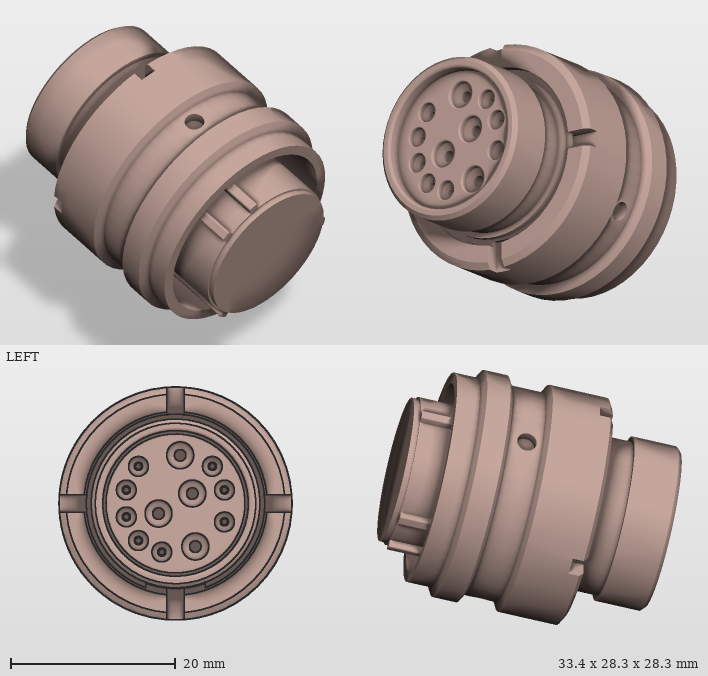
import cadquery as cq
import math

LENGTH = 33.37

ARC_MIDPOINT = 1 - math.sqrt(0.5)

BARREL_R = 10.25
BARREL_END = 6.05
BARREL_CHAMFER = 0.5
NECK_R = 9.58
COLLAR_R = 10.25
COLLAR_START = 9.55
GROOVE_START = 10.3
SLEEVE_R = 10.35
SLEEVE_END = 12.0
FLANGE_R = 11.7
FLANGE_END = 20.7
PLUG_R = 9.2
PLUG_END = 32.6
RIM_R = 9.25
BORE_R = 8.85

KEY_ANGLES = (10.0, 38.2, 137.7, 172.4, 255.0)
KEY_TIP_R = 10.1
KEY_WIDTH = 1.27
KEY_ROUND = 0.25
KEY_EMBED = 0.17
KEY_ROOT_R = PLUG_R - KEY_EMBED

INSERT_FACE = 1.8
INSERT_R = 8.45
INSERT_HEAD_R = 8.95

LARGE_CAVITIES = ((-0.57, 5.85), (-2.05, 1.2), (2.07, -1.25), (-2.4, -5.25))
SMALL_CAVITIES = (
    (4.5, 4.5),
    (-4.47, 4.5),
    (5.97, 1.65),
    (-5.95, 1.65),
    (5.97, -1.65),
    (-5.95, -2.25),
    (4.5, -4.5),
    (1.67, -5.9),
)
LARGE_MOUTH_R = 1.87
LARGE_WALL_R = 1.65
LARGE_WIRE_R = 0.7
SMALL_MOUTH_R = 1.35
SMALL_WALL_R = 1.2
SMALL_WIRE_R = 0.5
SMALL_BORE_R = 0.37
WALL_DEPTH = 0.8
FUNNEL_DEPTH = 1.25
STEP_DEPTH = 1.35
CAVITY_DEPTH = 3.35

RING_R = 14.15
RING_WAIST_R = 13.05
RING_START = 9.55
RING_END = 29.03
RING_MOUTH_R = 11.15
SHOULDER = 10.88
FRONT_CHAMFER = 0.5
REAR_BAND_END = 17.95
FRONT_BAND_START = 21.95
FRONT_BAND_END = 26.15
BAND_SLOPE = math.tan(math.radians(60))
BAND_CHAMFER = (RING_R - RING_WAIST_R) / BAND_SLOPE

SLOT_WIDTH = 2.15
SLOT_END = 11.4
SLOT_COUNT = 4
PIN_HOLE_R = 1.2
PIN_HOLE_X = 19.82
PIN_HOLE_COUNT = 3

RETAINER_R = 10.85
RETAINER_START = 10.45
RETAINER_GAP = 7.2


def revolve_about_x(outline):
    """Turn an (x, radius) outline about the X axis."""
    return outline.close().revolve(360, (0, 0, 0), (1, 0, 0))


def tube(radius, start, end):
    """A solid cylinder on the X axis."""
    return cq.Workplane("YZ", origin=(start, 0, 0)).circle(radius).extrude(end - start)


def plug_key(angle):
    """One key with rounded tip corners, standing on the plug barrel."""
    key = (
        cq.Workplane("XY")
        .box(PLUG_END - FLANGE_END, KEY_WIDTH, KEY_TIP_R - KEY_ROOT_R, centered=(False, True, False))
        .edges("|X and >Z")
        .fillet(KEY_ROUND)
        .translate((FLANGE_END, 0, KEY_ROOT_R))
    )
    return key.rotate((0, 0, 0), (1, 0, 0), angle)


def make_shell():
    """Hollow shell with a lip at the rear that the insert face sits flush with."""
    lip = RIM_R - BORE_R
    mid = lip * ARC_MIDPOINT
    outline = (
        cq.Workplane("XY")
        .moveTo(0, RIM_R)
        .lineTo(0, BARREL_R - BARREL_CHAMFER)
        .lineTo(BARREL_CHAMFER, BARREL_R)
        .lineTo(BARREL_END, BARREL_R)
        .lineTo(BARREL_END, NECK_R)
        .lineTo(COLLAR_START, NECK_R)
        .lineTo(COLLAR_START, COLLAR_R)
        .lineTo(GROOVE_START, COLLAR_R)
        .lineTo(GROOVE_START, NECK_R)
        .lineTo(SHOULDER, NECK_R)
        .lineTo(SHOULDER, SLEEVE_R)
        .lineTo(SLEEVE_END, SLEEVE_R)
        .lineTo(SLEEVE_END, FLANGE_R)
        .lineTo(FLANGE_END, FLANGE_R)
        .lineTo(FLANGE_END, PLUG_R)
        .lineTo(PLUG_END, PLUG_R)
        .lineTo(PLUG_END, INSERT_R)
        .lineTo(INSERT_FACE, INSERT_R)
        .lineTo(INSERT_FACE, BORE_R)
        .lineTo(lip, BORE_R)
        .threePointArc((mid, BORE_R + mid), (0, RIM_R))
    )
    shell = revolve_about_x(outline)
    for angle in KEY_ANGLES:
        shell = shell.union(plug_key(angle))
    return shell


def cavity_mouth(mouth_r, wall_r, wire_r, depth):
    """Rounded mouth, straight wall and funnel down to the wire hole, on the X axis from x = 0."""
    lip = mouth_r - wall_r
    mid = lip * ARC_MIDPOINT
    outline = (
        cq.Workplane("XY")
        .moveTo(0, 0)
        .lineTo(0, mouth_r)
        .threePointArc((mid, wall_r + mid), (lip, wall_r))
        .lineTo(WALL_DEPTH, wall_r)
        .lineTo(FUNNEL_DEPTH, wire_r)
        .lineTo(depth, wire_r)
        .lineTo(depth, 0)
    )
    return revolve_about_x(outline)


def make_insert():
    """Insert with a head against the plug end, bored with large and small contact cavities."""
    insert = tube(INSERT_R, INSERT_FACE, LENGTH).union(tube(INSERT_HEAD_R, PLUG_END, LENGTH))
    large = cavity_mouth(LARGE_MOUTH_R, LARGE_WALL_R, LARGE_WIRE_R, CAVITY_DEPTH)
    small = cavity_mouth(SMALL_MOUTH_R, SMALL_WALL_R, SMALL_WIRE_R, STEP_DEPTH)
    small = small.union(tube(SMALL_BORE_R, 0, CAVITY_DEPTH))
    for cavity, places in ((large, LARGE_CAVITIES), (small, SMALL_CAVITIES)):
        for y, z in places:
            insert = insert.cut(cavity.translate((INSERT_FACE, y, z)))
    return insert


def make_coupling_ring():
    """Slotted ring whose inner shoulder is held between the shell flange and the retainer."""
    outline = (
        cq.Workplane("XY")
        .moveTo(RING_START, RING_MOUTH_R)
        .lineTo(RING_START, RING_R - FRONT_CHAMFER * BAND_SLOPE)
        .lineTo(RING_START + FRONT_CHAMFER, RING_R)
        .lineTo(REAR_BAND_END - BAND_CHAMFER, RING_R)
        .lineTo(REAR_BAND_END, RING_WAIST_R)
        .lineTo(FRONT_BAND_START, RING_WAIST_R)
        .lineTo(FRONT_BAND_START + BAND_CHAMFER, RING_R)
        .lineTo(FRONT_BAND_END - BAND_CHAMFER, RING_R)
        .lineTo(FRONT_BAND_END, RING_WAIST_R)
        .lineTo(RING_END, RING_WAIST_R)
        .lineTo(RING_END, FLANGE_R)
        .lineTo(SLEEVE_END, FLANGE_R)
        .lineTo(SLEEVE_END, SLEEVE_R)
        .lineTo(SHOULDER, SLEEVE_R)
        .lineTo(SHOULDER, RING_MOUTH_R)
    )
    ring = revolve_about_x(outline)
    slot = cq.Workplane("XY").box(SLOT_END - RING_START, SLOT_WIDTH, RING_R, centered=(False, True, False))
    slot = slot.translate((RING_START, 0, 0))
    for i in range(SLOT_COUNT):
        ring = ring.cut(slot.rotate((0, 0, 0), (1, 0, 0), i * 360 / SLOT_COUNT))
    hole = cq.Workplane("XY").center(PIN_HOLE_X, 0).circle(PIN_HOLE_R).extrude(RING_R)
    for i in range(PIN_HOLE_COUNT):
        ring = ring.cut(hole.rotate((0, 0, 0), (1, 0, 0), i * 360 / PIN_HOLE_COUNT))
    return ring


def make_retainer():
    """Snap ring in the shell groove, open at the bottom."""
    ring = tube(RETAINER_R, RETAINER_START, SHOULDER).cut(tube(NECK_R, RETAINER_START, SHOULDER))
    gap = cq.Workplane("XY").box(LENGTH, RETAINER_GAP, RETAINER_R, centered=(False, True, False))
    return ring.cut(gap.translate((0, 0, -RETAINER_R)))


shell = make_shell()
insert = make_insert()
coupling_ring = make_coupling_ring()
retainer = make_retainer()

result = cq.Compound.makeCompound([shell.val(), insert.val(), coupling_ring.val(), retainer.val()])